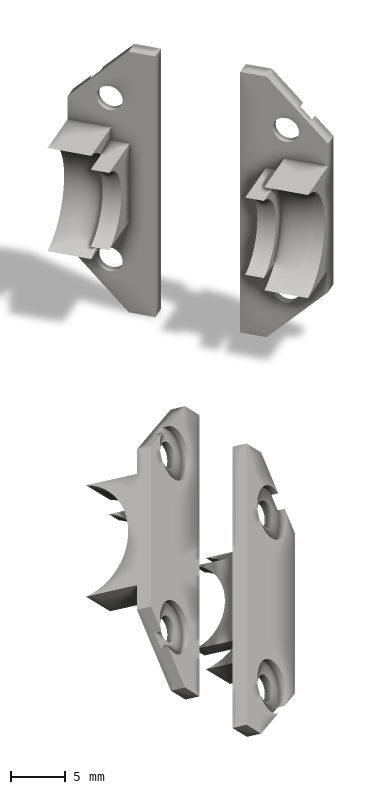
import cadquery as cq
import math

overall_width = 25.2
overall_height = 27.6
half_width = overall_width / 2
half_height = overall_height / 2

plate_width = 8.5
plate_thickness = 1.52
corner_cut = 5.93

hole_diameter = 2.5
hole_offset = 8.53
counterbore_diameter = 5.08
counterbore_depth = 0.75

bore_axis_depth = 8.0
seat_length = 4.22
seat_half_height = 5.46
seat_tip_depth = 6.95
collar_length = 1.8
collar_half_height = 4.08
collar_tip_depth = 7.1


def make_plate():
    """Plate on the +X side with its two outer corners cut off."""
    inner_x = half_width - plate_width
    return (
        cq.Workplane("XZ")
        .moveTo(inner_x, -half_height)
        .lineTo(half_width - corner_cut, -half_height)
        .lineTo(half_width, -half_height + corner_cut)
        .lineTo(half_width, half_height - corner_cut)
        .lineTo(half_width - corner_cut, half_height)
        .lineTo(inner_x, half_height)
        .close()
        .extrude(plate_thickness)
    )


def make_screw_holes():
    """Cutters for the through holes and their shallow back counterbores."""
    centres = [(hole_offset, -hole_offset), (hole_offset, hole_offset)]
    layout = cq.Workplane("XZ").pushPoints(centres)
    through_holes = layout.circle(hole_diameter / 2).extrude(plate_thickness)
    counterbores = layout.circle(counterbore_diameter / 2).extrude(counterbore_depth)
    return through_holes.union(counterbores)


def make_saddle_step(start_x, length, step_half_height, tip_depth):
    """Block hollowed by a concave arc that runs out to sharp upper and lower tips."""
    bore_radius = math.hypot(bore_axis_depth - tip_depth, step_half_height)
    arc_bottom_depth = bore_axis_depth - bore_radius
    return (
        cq.Workplane("YZ", origin=(start_x, 0, 0))
        .moveTo(0, -step_half_height)
        .lineTo(-tip_depth, -step_half_height)
        .threePointArc((-arc_bottom_depth, 0), (-tip_depth, step_half_height))
        .lineTo(0, step_half_height)
        .close()
        .extrude(length)
    )


def make_bracket():
    """Complete bracket on the +X side."""
    seat_x = half_width - seat_length
    collar_x = seat_x - collar_length
    seat = make_saddle_step(seat_x, seat_length, seat_half_height, seat_tip_depth)
    collar = make_saddle_step(collar_x, collar_length, collar_half_height, collar_tip_depth)
    plate = make_plate().union(seat).union(collar)
    return plate.cut(make_screw_holes())


right_bracket = make_bracket()
left_bracket = right_bracket.mirror("YZ")

result = cq.Compound.makeCompound([left_bracket.val(), right_bracket.val()])